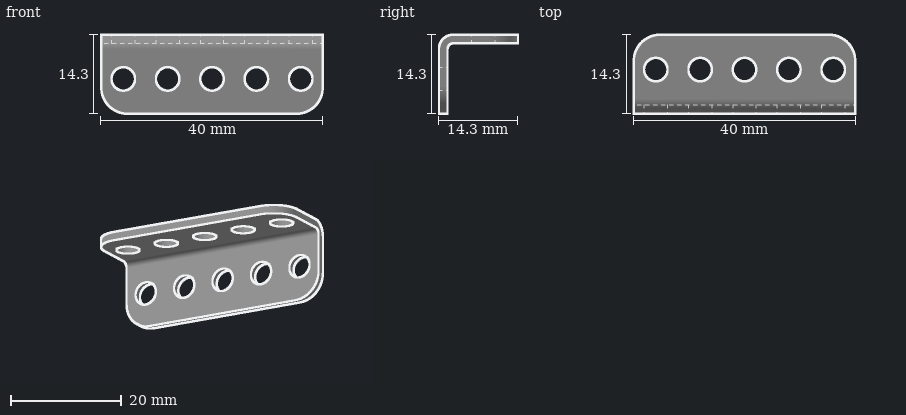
import cadquery as cq

length = 40.0
leg = 14.3
thickness = 1.6
inner_bend_radius = 1.0
corner_radius = 4.8
hole_diameter = 4.2
hole_count = 5
hole_pitch = length / hole_count
hole_offset = 8.0

outer_bend_radius = inner_bend_radius + thickness


def flat_leg():
    """Horizontal leg with its top at Z = 0 and its bend side at Y = 0."""
    plate = (
        cq.Workplane("XY")
        .box(length, leg, thickness, centered=(True, False, False))
        .translate((0, 0, -thickness))
        .edges("|Z and >Y")
        .fillet(corner_radius)
    )
    holes = (
        cq.Workplane("XY")
        .center(0, hole_offset)
        .rarray(hole_pitch, 0.4, hole_count, 1)
        .circle(hole_diameter / 2)
        .extrude(-thickness)
    )
    return plate.cut(holes)


top_leg = flat_leg()
front_leg = top_leg.rotate((0, 0, 0), (1, 0, 0), -90).mirror("XZ")

angle = top_leg.union(front_leg)
angle = angle.edges(cq.selectors.NearestToPointSelector((0, 0, 0))).fillet(outer_bend_radius)
inner_corner = (0, thickness, -thickness)
result = angle.edges(cq.selectors.NearestToPointSelector(inner_corner)).fillet(inner_bend_radius)